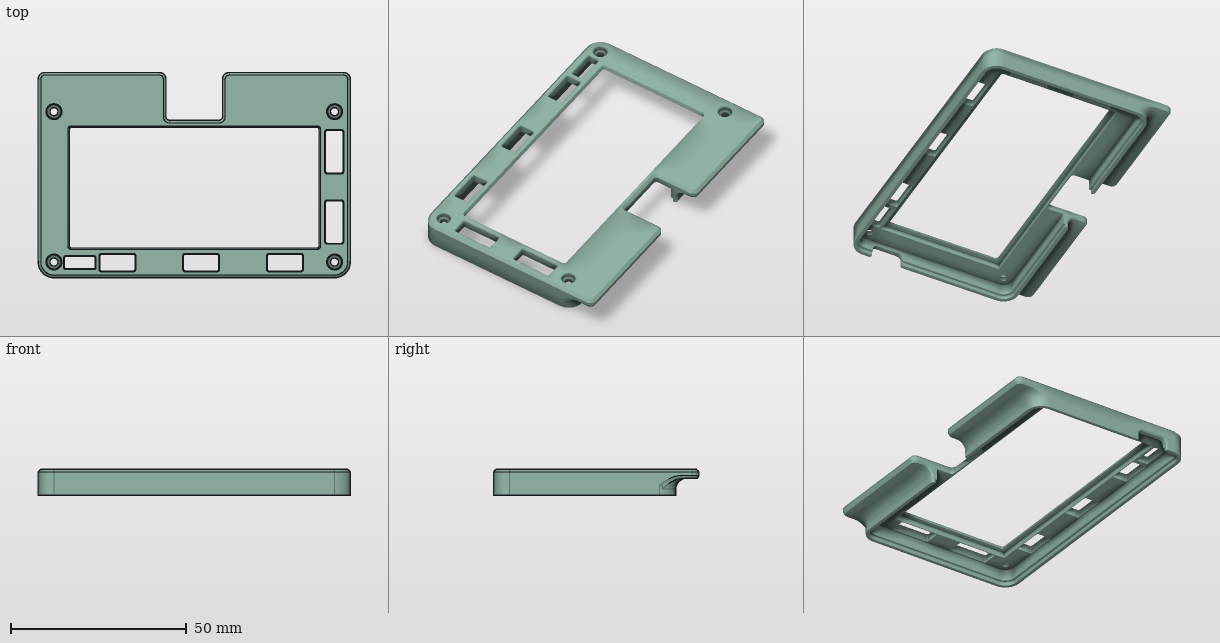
import cadquery as cq
import math

LENGTH = 88.8
DEPTH = 58.4
HEIGHT = 7.5

PLATE_THICKNESS = 2.7
PLATE_BACK_RADIUS = 1.95
EDGE_CHAMFER = 0.8
LOWER_BEVEL_HEIGHT = 0.8
LOWER_BEVEL_WIDTH = 0.4
OVERHANG = 6.6

SKIRT_RADIUS = 4.6
FLARE_RADIUS = 3.0

WALL = 1.7
CEILING_THICKNESS = 2.7
LIP_WALL = 1.1
LIP_HEIGHT = 1.2

NOTCH_WIDTH = 16.0
NOTCH_FLOOR_Y = 44.8
NOTCH_RADIUS = 1.0

WINDOW_LENGTH = 70.9
WINDOW_DEPTH = 34.3
WINDOW_CENTER_Y = 25.7
WINDOW_RADIUS = 0.5
WINDOW_BEVEL = 0.4
WINDOW_RIM = 1.1
RECESS_MARGIN = 1.6

PORT_RADIUS = 0.4
PORT_CHAMFER = 0.3
FRONT_PORT_SIZE = (9.95, 4.7)
FRONT_PORT_Y = 4.35
FRONT_PORT_PITCH = 23.8
FRONT_PORT_MIDDLE_X = 1.95
SMALL_PORT = (-32.5, 4.35, 8.7, 3.5)
SIDE_PORT_SIZE = (4.9, 12.1)
SIDE_PORT_X = 39.8
SIDE_PORT_YS = (15.9, 35.9)

SCREW_INSET = 4.5
SCREW_BACK_Y = 47.2
SCREW_DIAMETER = 2.2
HEAD_DIAMETER = 4.0
HEAD_DEPTH = 1.4
HEAD_CHAMFER = 0.3

SLOT_CENTER_Y = 11.9
SLOT_WIDTH = 9.4
SLOT_HEIGHT = 3.5
SLOT_RADIUS = 1.4
SLOT_CHAMFER = 0.35

SELECT_MARGIN = 0.1

SKIRT_DEPTH = DEPTH - OVERHANG
PLATE_BOTTOM = HEIGHT - PLATE_THICKNESS
CEILING_Z = HEIGHT - CEILING_THICKNESS


def block(length, y_min, y_max, z_min, z_max, center_x=0.0):
    """Box centred on center_x and spanning the given Y and Z ranges."""
    box = cq.Workplane("XY").box(length, y_max - y_min, z_max - z_min, centered=(True, False, False))
    return box.translate((center_x, y_min, z_min))


def make_plan(z_min, z_max):
    """Prism with the full outline: front corners, back corners and notch."""
    plan = block(LENGTH, 0, DEPTH, z_min, z_max)
    plan = plan.edges("|Z and <Y").fillet(SKIRT_RADIUS)
    plan = plan.cut(block(NOTCH_WIDTH, NOTCH_FLOOR_Y, DEPTH, z_min, z_max))
    plan = plan.edges("|Z and >Y").fillet(PLATE_BACK_RADIUS)
    notch_corners = cq.selectors.BoxSelector(
        (-NOTCH_WIDTH, NOTCH_FLOOR_Y - SELECT_MARGIN, z_min),
        (NOTCH_WIDTH, NOTCH_FLOOR_Y + SELECT_MARGIN, z_max),
    )
    return plan.edges("|Z").edges(notch_corners).fillet(NOTCH_RADIUS)


def make_flare():
    """Concave flare along the back wall, turning round both back corners of the skirt."""
    corner_x = LENGTH / 2 - SKIRT_RADIUS
    corner_y = SKIRT_DEPTH - SKIRT_RADIUS
    reach = SKIRT_RADIUS + FLARE_RADIUS
    flare_z = PLATE_BOTTOM - FLARE_RADIUS
    diagonal = FLARE_RADIUS * math.sqrt(0.5)

    def profile(plane):
        return (
            cq.Workplane(plane)
            .moveTo(0, flare_z)
            .lineTo(SKIRT_RADIUS, flare_z)
            .threePointArc((reach - diagonal, flare_z + diagonal), (reach, PLATE_BOTTOM))
            .lineTo(reach, HEIGHT - EDGE_CHAMFER)
            .lineTo(0, HEIGHT - EDGE_CHAMFER)
            .close()
        )

    flare = profile("YZ").extrude(corner_x, both=True).translate((0, corner_y, 0))
    corner = profile("XZ").revolve(360, (0, 0, 0), (0, 1, 0))
    for side in (-1, 1):
        flare = flare.union(corner.translate((side * corner_x, corner_y, 0)))
    flare = flare.intersect(block(LENGTH, 0, DEPTH, 0, HEIGHT))

    curved_edges = cq.selectors.BoxSelector((-LENGTH, corner_y + SELECT_MARGIN, flare_z), (LENGTH, DEPTH, HEIGHT))
    side_edges = flare.faces("<X or >X").edges("%BSPLINE").edges(curved_edges)
    return side_edges.chamfer(LOWER_BEVEL_WIDTH, LOWER_BEVEL_HEIGHT)


def make_shell():
    """Bevelled plate joined to the skirt and flare, still without any hollow."""
    plate = make_plan(PLATE_BOTTOM, HEIGHT).faces(">Z").chamfer(EDGE_CHAMFER)
    plate = plate.faces("<Z").chamfer(LOWER_BEVEL_HEIGHT, LOWER_BEVEL_WIDTH)
    flare = make_flare()
    skirt = block(LENGTH, 0, SKIRT_DEPTH, 0, HEIGHT - EDGE_CHAMFER).edges("|Z").fillet(SKIRT_RADIUS)
    lower = flare.union(skirt).intersect(make_plan(0, HEIGHT - EDGE_CHAMFER))

    notch_ends = cq.selectors.BoxSelector(
        (-NOTCH_WIDTH, SKIRT_DEPTH - SELECT_MARGIN, 0),
        (NOTCH_WIDTH, SKIRT_DEPTH + FLARE_RADIUS, PLATE_BOTTOM - SELECT_MARGIN),
    )
    lower = lower.edges("#X").edges(notch_ends).chamfer(LOWER_BEVEL_WIDTH)
    return plate.union(lower)


def make_cavity():
    """Main hollow under the plate with a wider step along its lower edge."""

    def pocket(wall, height):
        room = block(LENGTH - 2 * wall, wall, SKIRT_DEPTH - wall, 0, height)
        return room.edges("|Z").fillet(SKIRT_RADIUS - wall)

    return pocket(WALL, CEILING_Z).union(pocket(LIP_WALL, LIP_HEIGHT))


def make_opening(center_x, center_y, length, depth, radius, bevel_width, bevel_height):
    """Rounded through-opening that widens by bevel_width at its upper rim."""
    opening = block(length, center_y - depth / 2, center_y + depth / 2, 0, HEIGHT, center_x)
    opening = opening.edges("|Z").fillet(radius)
    bevel = (
        cq.Workplane("XY")
        .workplane(offset=HEIGHT)
        .center(center_x, center_y)
        .sketch()
        .rect(length + 2 * bevel_width, depth + 2 * bevel_width)
        .vertices()
        .fillet(radius + bevel_width)
        .finalize()
        .extrude(-bevel_height, taper=math.degrees(math.atan2(bevel_width, bevel_height)))
    )
    return opening.union(bevel)


def make_window():
    """Display opening with sloping sides and a wider recess below its thin rim."""
    window = make_opening(
        0, WINDOW_CENTER_Y, WINDOW_LENGTH, WINDOW_DEPTH, WINDOW_RADIUS, WINDOW_BEVEL, WINDOW_RIM
    )
    recess_depth = WINDOW_DEPTH + 2 * RECESS_MARGIN
    recess_front = WINDOW_CENTER_Y - recess_depth / 2
    recess = block(
        WINDOW_LENGTH + 2 * RECESS_MARGIN, recess_front, recess_front + recess_depth, 0, HEIGHT - WINDOW_RIM
    )
    return window.union(recess)


def make_ports():
    """Small openings along the front and right borders."""
    ports = [SMALL_PORT]
    for step in (-1, 0, 1):
        ports.append((FRONT_PORT_MIDDLE_X + step * FRONT_PORT_PITCH, FRONT_PORT_Y) + FRONT_PORT_SIZE)
    for port_y in SIDE_PORT_YS:
        ports.append((SIDE_PORT_X, port_y) + SIDE_PORT_SIZE)
    return [make_opening(*port, PORT_RADIUS, PORT_CHAMFER, PORT_CHAMFER) for port in ports]


def make_screw_hole(center_x, center_y):
    """Through-hole with a counterbore and a bevelled rim."""
    half_profile = [
        (0, 0),
        (SCREW_DIAMETER / 2, 0),
        (SCREW_DIAMETER / 2, HEIGHT - HEAD_DEPTH),
        (HEAD_DIAMETER / 2, HEIGHT - HEAD_DEPTH),
        (HEAD_DIAMETER / 2, HEIGHT - HEAD_CHAMFER),
        (HEAD_DIAMETER / 2 + HEAD_CHAMFER, HEIGHT),
        (0, HEIGHT),
    ]
    hole = cq.Workplane("XZ").polyline(half_profile).close().revolve(360, (0, 0, 0), (0, 1, 0))
    return hole.translate((center_x, center_y, 0))


def make_slot():
    """Slot open at the bottom of the left wall, bevelled on its outer face."""

    def prism(margin, depth, taper):
        width = SLOT_WIDTH + 2 * margin
        height = SLOT_HEIGHT + margin
        return (
            cq.Workplane("YZ", origin=(-LENGTH / 2, SLOT_CENTER_Y, 0))
            .sketch()
            .rect(width, 2 * height)
            .vertices()
            .fillet(SLOT_RADIUS + margin)
            .finalize()
            .extrude(depth, taper=taper)
        )

    return prism(0, WALL + LIP_WALL, 0).union(prism(SLOT_CHAMFER, SLOT_CHAMFER, 45))


result = make_shell().cut(make_cavity()).cut(make_window())
for port in make_ports():
    result = result.cut(port)
screw_x = LENGTH / 2 - SCREW_INSET
for hole_x in (-screw_x, screw_x):
    for hole_y in (SCREW_INSET, SCREW_BACK_Y):
        result = result.cut(make_screw_hole(hole_x, hole_y))
result = result.cut(make_slot())